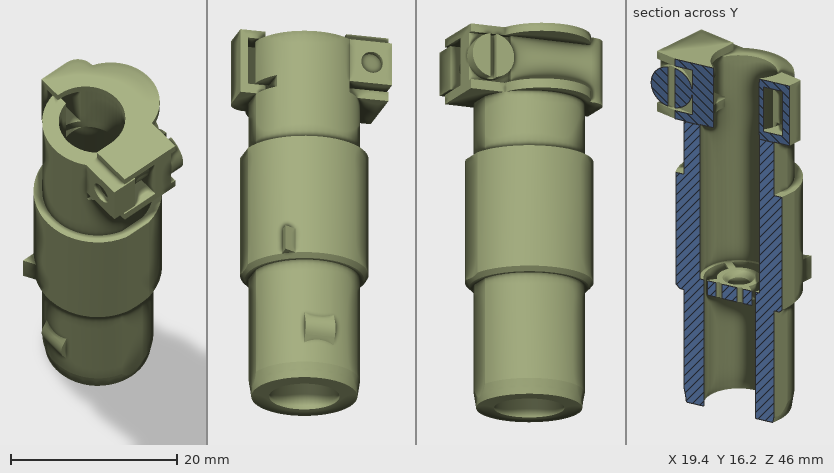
import cadquery as cq
import math

TURN = -15.0
LARGE = 40.0

total_height = 45.95
clip_height = 8.1
plate_thickness = 1.0
lower_plate_thickness = 1.15
clip_bottom = total_height - clip_height
clip_gap_bottom = clip_bottom + lower_plate_thickness
clip_gap_top = total_height - plate_thickness
top_clearance = 0.25
barrel_top = clip_gap_top - top_clearance
side_slot_height = 1.45
slot_top = clip_bottom + side_slot_height

barrel_radius = 6.7
barrel_across_flats = 13.0
bore_radius = 4.7
nose_height = 1.9
nose_radius = 6.4
collar_radius = 7.75
collar_across_flats = 15.1
collar_bottom = 15.1
collar_top = 30.7
collar_chamfer = 0.55

web_bottom = collar_bottom
web_thickness = 2.0
hub_radius = 2.65
hub_hole_radius = 1.3
hub_sink_radius = 1.95
socket_radius = 4.25
spoke_width = 0.9
spoke_angle = 45.0 - TURN
wedge_spoke_angle = 225.0 - TURN
wedge_tip_radius = 3.35
wedge_half_angle = 60.0

key_tip_radius = 9.15
key_side = 3.9
key_angle = 225.0 - TURN
key_bottom = collar_bottom + collar_chamfer
key_height = 3.05

stud_width = 3.7
stud_height = 6.35
stud_apex = 7.58
stud_slope = 30.0
stud_round = 2.17
stud_root = 5.5

clip_left = -8.5
clip_right = 9.5
clip_back = 4.27
clip_front_left = -1.8
clip_front_right = -3.65
clip_corner = 2.1
clip_wall = 0.95
crown_radius = 5.9
crown_center = (-0.57, 2.5)
clip_bore_radius = 4.8
clip_bore_center = (-0.57, -1.45)
back_wall_front = 1.15
head_seat = 3.6

half_shell_back = -1.2
left_slot_x = -4.74
right_slot_x = 4.2
tab_front = -5.26
tab_back = -2.0

screw_x = 7.0
screw_z = 42.0
screw_radius = 1.35
screw_recess = 0.8
head_radius = 2.72
head_back = 5.3
screw_slot_width = 0.85
screw_slot_depth = 1.1


def block(x0, x1, y0, y1, z0, z1):
    return cq.Workplane("XY").box(x1 - x0, y1 - y0, z1 - z0, centered=False).translate((x0, y0, z0))


def cylinder(radius, z0, z1, center=(0.0, 0.0)):
    return cq.Workplane("XY").workplane(offset=z0).center(*center).circle(radius).extrude(z1 - z0)


def cylinder_along_y(radius, y0, y1):
    """Cylinder on the screw axis."""
    return cq.Workplane("XZ", origin=(screw_x, y0, screw_z)).circle(radius).extrude(y0 - y1)


def flatted(solid, across_flats):
    """Trim a round solid to two flats facing -X and +X."""
    half = across_flats / 2
    return solid.intersect(block(-half, half, -LARGE, LARGE, 0, total_height))


def barrel_blank():
    tube = cylinder(barrel_radius, 0, barrel_top)
    nose_drop = barrel_radius - nose_radius
    tube = tube.faces("<Z").chamfer(nose_height, nose_drop)
    collar = cylinder(collar_radius, collar_bottom, collar_top).faces("<Z").chamfer(collar_chamfer)
    return flatted(tube, barrel_across_flats).union(flatted(collar, collar_across_flats))


def key():
    """Equilateral triangular prism whose sharp edge points away from the axis."""
    base_radius = key_tip_radius - key_side * math.sqrt(3) / 2
    corners = [
        (key_tip_radius, 0),
        (base_radius, key_side / 2),
        (base_radius, -key_side / 2),
    ]
    prism = cq.Workplane("XY").workplane(offset=key_bottom).polyline(corners).close().extrude(key_height)
    return prism.rotate((0, 0, 0), (0, 0, 1), key_angle)


def stud():
    """Bayonet stud on the -Y side: a shallow wedge with a rounded crest."""
    slope = math.radians(stud_slope)
    half_root = (stud_apex - stud_root) / math.tan(slope)
    profile = [
        (-stud_apex, stud_height),
        (-stud_root, stud_height + half_root),
        (-stud_root, stud_height - half_root),
    ]
    wedge = cq.Workplane("YZ").workplane(offset=-stud_width / 2).polyline(profile).close().extrude(stud_width)
    return wedge.edges("<Y").fillet(stud_round)


def window_web():
    """Hub carried on four spokes; one spoke flares into a wedge at its outer end."""
    web_top = web_bottom + web_thickness
    rim = cylinder(bore_radius, web_bottom, web_top).cut(cylinder(socket_radius, web_bottom, web_top))
    web = rim.union(cylinder(hub_radius, web_bottom, web_top))
    reach = (socket_radius + bore_radius) / 2
    bar = block(-reach, reach, -spoke_width / 2, spoke_width / 2, web_bottom, web_top)
    for quarter in range(2):
        web = web.union(bar.rotate((0, 0, 0), (0, 0, 1), spoke_angle + 90 * quarter))

    wedge_half = (bore_radius - wedge_tip_radius) * math.tan(math.radians(wedge_half_angle))
    corners = [
        (wedge_tip_radius, 0),
        (bore_radius, wedge_half),
        (bore_radius, -wedge_half),
    ]
    wedge = cq.Workplane("XY").workplane(offset=web_bottom).polyline(corners).close().extrude(web_thickness)
    wedge = wedge.rotate((0, 0, 0), (0, 0, 1), wedge_spoke_angle)
    web = web.union(wedge.intersect(cylinder(bore_radius, web_bottom, web_top)))

    sink_depth = hub_sink_radius - hub_hole_radius
    sink = (
        cq.Workplane("XY").workplane(offset=web_top - sink_depth).circle(hub_hole_radius)
        .workplane(offset=sink_depth).circle(hub_sink_radius).loft()
    )
    return web.cut(cylinder(hub_hole_radius, web_bottom, web_top)).cut(sink)


def make_barrel():
    barrel = barrel_blank().union(key()).union(stud())
    barrel = barrel.union(block(right_slot_x, clip_right, tab_front, tab_back, slot_top, barrel_top))
    barrel = barrel.cut(cylinder(bore_radius, web_bottom, total_height))
    barrel = barrel.cut(cylinder(socket_radius, 0, web_bottom))
    barrel = barrel.union(window_web())

    barrel = barrel.cut(block(-LARGE, LARGE, half_shell_back, LARGE, clip_bottom, total_height))
    barrel = barrel.cut(block(0, LARGE, tab_back, LARGE, clip_bottom, total_height))
    barrel = barrel.cut(block(-LARGE, left_slot_x, -LARGE, LARGE, clip_bottom, slot_top))
    barrel = barrel.cut(block(right_slot_x, LARGE, -LARGE, LARGE, clip_bottom, slot_top))
    return barrel


def clip_body():
    """Full-height block with the plate outline, before hollowing."""
    arms = block(clip_left, clip_right, clip_front_right, clip_back, clip_bottom, total_height)
    arms = arms.edges("|Z and <X and >Y").fillet(clip_corner)
    arms = arms.cut(block(-LARGE, crown_center[0], -LARGE, clip_front_left, clip_bottom, total_height))

    bore_x, bore_y = clip_bore_center
    opening = cylinder(clip_bore_radius, clip_bottom, total_height, clip_bore_center)
    mouth = block(
        bore_x - clip_bore_radius, bore_x + clip_bore_radius,
        -LARGE, bore_y,
        clip_bottom, total_height,
    )
    return arms.cut(opening).cut(mouth)


def crown(z0, z1):
    """Round bulge of one plate behind the back wall."""
    bulge = cylinder(crown_radius, z0, z1, crown_center)
    return bulge.intersect(block(-LARGE, LARGE, back_wall_front, LARGE, z0, z1)).cut(
        cylinder(clip_bore_radius, z0, z1, clip_bore_center)
    )


def screw():
    shank = cylinder_along_y(screw_radius, tab_front + screw_recess, head_seat)
    head = cylinder_along_y(head_radius, head_seat, head_back)
    slot = block(
        screw_x - screw_slot_width / 2, screw_x + screw_slot_width / 2,
        head_back - screw_slot_depth, head_back,
        clip_bottom, total_height,
    )
    return shank.union(head.cut(slot))


def make_clip():
    clip = clip_body()
    clip = clip.cut(
        block(clip_left + clip_wall, LARGE, -LARGE, back_wall_front, clip_gap_bottom, clip_gap_top)
    )
    clip = clip.cut(
        block(screw_x - head_radius, LARGE, head_seat, LARGE, clip_gap_bottom, clip_gap_top)
    )
    clip = clip.union(crown(clip_gap_top, total_height))
    clip = clip.union(crown(clip_bottom, clip_gap_bottom))
    return clip.union(screw())


screw_hole = cylinder_along_y(screw_radius, tab_front, tab_back)
barrel = make_barrel().cut(screw_hole).rotate((0, 0, 0), (0, 0, 1), TURN)
clip = make_clip().rotate((0, 0, 0), (0, 0, 1), TURN)

result = cq.Compound.makeCompound([barrel.val(), clip.val()])